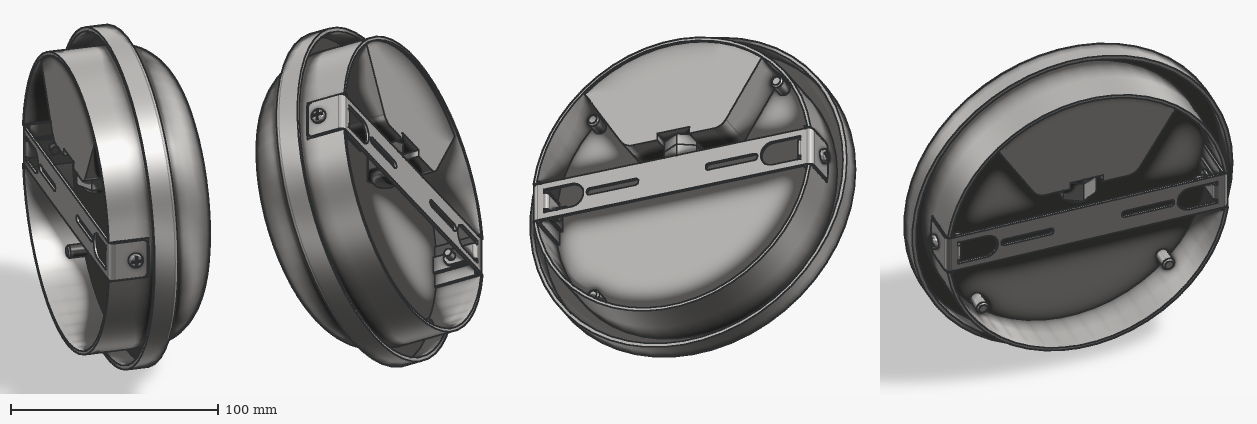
import cadquery as cq
import math


HOUSING_RADIUS = 73.6
HOUSING_BORE_RADIUS = 72.0
HOUSING_DEPTH = 30.6
FLOOR_Y = 24.5

COVER_RADIUS = 83.2
SKIRT_BORE_RADIUS = 81.3
SKIRT_RIM_Y = 20.0
COVER_SHOULDER_Y = 32.1
COVER_EDGE_FILLET = 2.0
DOME_ARC_RADIUS = 25.0
CAP_RADIUS = 55.0
CAP_APEX_Y = 62.0

BRACKET_WIDTH = 19.6
BRACKET_THICKNESS = 1.5
BRACKET_BEND_RADIUS = 2.7
BRACKET_LEG_END_Y = 19.0
BRACKET_CORNER_CHAMFER = 1.3
KEYHOLE_OUTER_X = 67.5
KEYHOLE_INNER_X = 46.6
KEYHOLE_WIDTH = 12.7
SLOT_OUTER_X = 45.0
SLOT_INNER_X = 17.6
SLOT_WIDTH = 3.7

SEAT_WIDTH = 20.6
PAD_WIDTH = 22.6
PAD_INNER_X = 69.6
LEG_INNER_X = HOUSING_RADIUS - BRACKET_THICKNESS

TAB_WIDTH = 8.7
TAB_BEND_RADIUS = 2.0
TAB_INNER_X = KEYHOLE_OUTER_X - TAB_BEND_RADIUS
TAB_OUTER_X = TAB_INNER_X + BRACKET_THICKNESS

BOSS_START_Y = 3.0
BOSS_HEIGHT = 1.7

SCREW_Y = 13.0
SCREW_SHAFT_RADIUS = 2.0
SCREW_TIP_X = 61.1
SCREW_HEAD_RADIUS = 3.5
SCREW_HEAD_HEIGHT = 2.5
SCREW_HEAD_FILLET = 1.0
CROSS_LENGTH = 5.3
CROSS_WIDTH = 1.0
CROSS_DEPTH = 1.3

STUD_OFFSET = 48.3
STUD_RADIUS = 3.2
STUD_CHAMFER = 1.0
STUD_END_Y = 15.0

COMPARTMENT_FACE_Y = 1.5
COMPARTMENT_BOTTOM_Z = 21.3
COMPARTMENT_BOTTOM_HALF = 25.5
COMPARTMENT_SIDE_LEAN = 32.2
COMPARTMENT_FILLET = 7.5

HEX_FLATS = 17.0
HEX_CORNER_RADIUS = HEX_FLATS / math.sqrt(3)
GLAND_Y = 15.3
GLAND_HEX_BOTTOM_Z = 9.0
NUT_BOTTOM_Z = 19.3
NUT_TOP_Z = 25.0
GLAND_END_RADIUS = 6.7
GLAND_END_HEIGHT = 4.0
GLAND_END_FILLET = 3.0


def span_box(x_min, x_max, y_min, y_max, z_min, z_max):
    size = (x_max - x_min, y_max - y_min, z_max - z_min)
    return cq.Workplane().box(*size, centered=False).translate((x_min, y_min, z_min))


def disc(radius, y_min, y_max):
    return cq.Workplane("XZ", origin=(0, y_min, 0)).circle(radius).extrude(y_min - y_max)


def on_both_sides(body):
    """The body on the +X side together with its copy on the -X side."""
    return [body, body.mirror("YZ")]


def hex_prism(z_min, z_max):
    prism = cq.Workplane().polygon(6, 2 * HEX_CORNER_RADIUS).extrude(z_max - z_min)
    return prism.rotate((0, 0, 0), (0, 0, 1), 90).translate((0, GLAND_Y, z_min))


def make_compartment():
    """Raised trapezoid that widens upward until it meets the cup wall."""
    height = HOUSING_RADIUS - COMPARTMENT_BOTTOM_Z
    top_half = COMPARTMENT_BOTTOM_HALF + height * math.tan(math.radians(COMPARTMENT_SIDE_LEAN))
    outline = [
        (-COMPARTMENT_BOTTOM_HALF, COMPARTMENT_BOTTOM_Z),
        (COMPARTMENT_BOTTOM_HALF, COMPARTMENT_BOTTOM_Z),
        (top_half, HOUSING_RADIUS),
        (-top_half, HOUSING_RADIUS),
    ]
    block = (
        cq.Workplane("XZ", origin=(0, COMPARTMENT_FACE_Y, 0))
        .polyline(outline)
        .close()
        .extrude(COMPARTMENT_FACE_Y - FLOOR_Y)
        .edges("|Y and <Z")
        .fillet(COMPARTMENT_FILLET)
    )
    nut_notch = span_box(
        -HEX_FLATS / 2, HEX_FLATS / 2, COMPARTMENT_FACE_Y, FLOOR_Y, COMPARTMENT_BOTTOM_Z, NUT_TOP_Z
    )
    return block.intersect(disc(HOUSING_BORE_RADIUS, 0, FLOOR_Y)).cut(nut_notch)


def make_stud():
    return disc(STUD_RADIUS, STUD_END_Y, FLOOR_Y).faces("<Y").chamfer(STUD_CHAMFER)


def screw_shaft():
    return (
        cq.Workplane("YZ", origin=(SCREW_TIP_X, SCREW_Y, 0))
        .circle(SCREW_SHAFT_RADIUS)
        .extrude(HOUSING_RADIUS - SCREW_TIP_X)
    )


def make_housing():
    housing = disc(HOUSING_RADIUS, 0, HOUSING_DEPTH).cut(disc(HOUSING_BORE_RADIUS, 0, FLOOR_Y))

    pad = span_box(PAD_INNER_X, HOUSING_RADIUS, 0, FLOOR_Y, -PAD_WIDTH / 2, PAD_WIDTH / 2)
    pad = pad.intersect(disc(HOUSING_RADIUS, 0, FLOOR_Y))
    boss = span_box(
        PAD_INNER_X - BOSS_HEIGHT,
        PAD_INNER_X,
        BOSS_START_Y,
        FLOOR_Y,
        -TAB_WIDTH / 2,
        TAB_WIDTH / 2,
    )
    for feature in on_both_sides(pad.union(boss)):
        housing = housing.union(feature)

    housing = housing.union(make_compartment())
    for x in (-STUD_OFFSET, STUD_OFFSET):
        for z in (-STUD_OFFSET, STUD_OFFSET):
            housing = housing.union(make_stud().translate((x, 0, z)))

    half_seat = SEAT_WIDTH / 2
    leg_recess = span_box(LEG_INNER_X, COVER_RADIUS, 0, SKIRT_RIM_Y, -half_seat, half_seat)
    strap_passage = span_box(PAD_INNER_X, COVER_RADIUS, 0, BRACKET_BEND_RADIUS, -half_seat, half_seat)
    for cutter in on_both_sides(leg_recess) + on_both_sides(strap_passage) + on_both_sides(screw_shaft()):
        housing = housing.cut(cutter)
    return housing.cut(hex_prism(GLAND_HEX_BOTTOM_Z, NUT_TOP_Z))


def make_cover():
    """Skirt, plate and dome in one turned body."""
    dome_centre_radius = HOUSING_RADIUS - DOME_ARC_RADIUS

    def dome_point(angle):
        return (
            dome_centre_radius + DOME_ARC_RADIUS * math.cos(angle),
            COVER_SHOULDER_Y + DOME_ARC_RADIUS * math.sin(angle),
        )

    cap_angle = math.acos((CAP_RADIUS - dome_centre_radius) / DOME_ARC_RADIUS)
    cap_edge = dome_point(cap_angle)
    cap_rise = CAP_APEX_Y - cap_edge[1]
    cap_sphere_radius = (CAP_RADIUS**2 + cap_rise**2) / (2 * cap_rise)
    cap_half_angle = math.asin(CAP_RADIUS / cap_sphere_radius) / 2
    cap_middle = (
        cap_sphere_radius * math.sin(cap_half_angle),
        CAP_APEX_Y - cap_sphere_radius * (1 - math.cos(cap_half_angle)),
    )
    profile = (
        cq.Workplane("XY")
        .moveTo(0, HOUSING_DEPTH)
        .lineTo(SKIRT_BORE_RADIUS, HOUSING_DEPTH)
        .lineTo(SKIRT_BORE_RADIUS, SKIRT_RIM_Y)
        .lineTo(COVER_RADIUS, SKIRT_RIM_Y)
        .lineTo(COVER_RADIUS, COVER_SHOULDER_Y - COVER_EDGE_FILLET)
        .radiusArc((COVER_RADIUS - COVER_EDGE_FILLET, COVER_SHOULDER_Y), -COVER_EDGE_FILLET)
        .lineTo(HOUSING_RADIUS, COVER_SHOULDER_Y)
        .threePointArc(dome_point(cap_angle / 2), cap_edge)
        .threePointArc(cap_middle, (0, CAP_APEX_Y))
        .close()
    )
    return profile.revolve(360, (0, 0, 0), (0, 1, 0))


def make_tab():
    """Tab on the +X side: quarter bend, straight run and a round end about the screw axis."""
    half_width = TAB_WIDTH / 2
    bend_inner_radius = TAB_BEND_RADIUS - BRACKET_THICKNESS
    strip = (
        cq.Workplane("XY", origin=(0, 0, -half_width))
        .moveTo(KEYHOLE_OUTER_X, 0)
        .radiusArc((TAB_INNER_X, TAB_BEND_RADIUS), TAB_BEND_RADIUS)
        .lineTo(TAB_INNER_X, SCREW_Y)
        .lineTo(TAB_OUTER_X, SCREW_Y)
        .lineTo(TAB_OUTER_X, TAB_BEND_RADIUS)
        .radiusArc((KEYHOLE_OUTER_X, BRACKET_THICKNESS), -bend_inner_radius)
        .close()
        .extrude(TAB_WIDTH)
    )
    round_end = (
        cq.Workplane("YZ", origin=(TAB_INNER_X, SCREW_Y, 0))
        .circle(half_width)
        .extrude(BRACKET_THICKNESS)
    )
    return strip.union(round_end)


def make_bracket():
    half_width = BRACKET_WIDTH / 2
    bracket = span_box(
        -HOUSING_RADIUS, HOUSING_RADIUS, 0, BRACKET_LEG_END_Y, -half_width, half_width
    )
    bracket = bracket.edges("|Z and <Y").fillet(BRACKET_BEND_RADIUS)
    bracket = bracket.edges("|X and >Y").chamfer(BRACKET_CORNER_CHAMFER)
    inside = span_box(
        -LEG_INNER_X, LEG_INNER_X, BRACKET_THICKNESS, BRACKET_LEG_END_Y, -half_width, half_width
    )
    inside = inside.edges("|Z and <Y").fillet(BRACKET_BEND_RADIUS - BRACKET_THICKNESS)
    bracket = bracket.cut(inside)

    keyhole_arc_x = KEYHOLE_INNER_X + KEYHOLE_WIDTH / 2
    keyhole = span_box(
        keyhole_arc_x, KEYHOLE_OUTER_X, 0, BRACKET_THICKNESS, -KEYHOLE_WIDTH / 2, KEYHOLE_WIDTH / 2
    ).union(disc(KEYHOLE_WIDTH / 2, 0, BRACKET_THICKNESS).translate((keyhole_arc_x, 0, 0)))
    slot = (
        cq.Workplane("XZ")
        .center((SLOT_OUTER_X + SLOT_INNER_X) / 2, 0)
        .slot2D(SLOT_OUTER_X - SLOT_INNER_X, SLOT_WIDTH)
        .extrude(-BRACKET_THICKNESS)
    )
    for cutter in on_both_sides(keyhole) + on_both_sides(slot):
        bracket = bracket.cut(cutter)
    for tab in on_both_sides(make_tab()):
        bracket = bracket.union(tab)
    for screw_hole in on_both_sides(screw_shaft()):
        bracket = bracket.cut(screw_hole)
    return bracket


def make_screw():
    """Cross-recessed screw on the +X side."""
    head = (
        cq.Workplane("YZ", origin=(HOUSING_RADIUS, SCREW_Y, 0))
        .circle(SCREW_HEAD_RADIUS)
        .extrude(SCREW_HEAD_HEIGHT)
        .faces(">X")
        .edges()
        .fillet(SCREW_HEAD_FILLET)
    )
    head_top_x = HOUSING_RADIUS + SCREW_HEAD_HEIGHT
    cross = (
        cq.Workplane("YZ", origin=(head_top_x, SCREW_Y, 0))
        .rect(CROSS_LENGTH, CROSS_WIDTH)
        .extrude(-CROSS_DEPTH)
    )
    cross = cross.union(cross.rotate((0, SCREW_Y, 0), (1, SCREW_Y, 0), 90))
    return head.union(screw_shaft()).cut(cross)


def make_gland():
    """Hexagon body with a rounded cable end below it."""
    cable_end = (
        cq.Workplane("XY", origin=(0, GLAND_Y, GLAND_HEX_BOTTOM_Z))
        .circle(GLAND_END_RADIUS)
        .extrude(-GLAND_END_HEIGHT)
        .faces("<Z")
        .edges()
        .fillet(GLAND_END_FILLET)
    )
    return hex_prism(GLAND_HEX_BOTTOM_Z, NUT_BOTTOM_Z).union(cable_end)


def make_lock_nut():
    return hex_prism(NUT_BOTTOM_Z, NUT_TOP_Z)


housing = make_housing()
cover = make_cover()
bracket = make_bracket()
screws = on_both_sides(make_screw())
gland = make_gland()
lock_nut = make_lock_nut()

result = cq.Compound.makeCompound(
    [housing.val(), cover.val(), bracket.val()]
    + [screw.val() for screw in screws]
    + [gland.val(), lock_nut.val()]
)